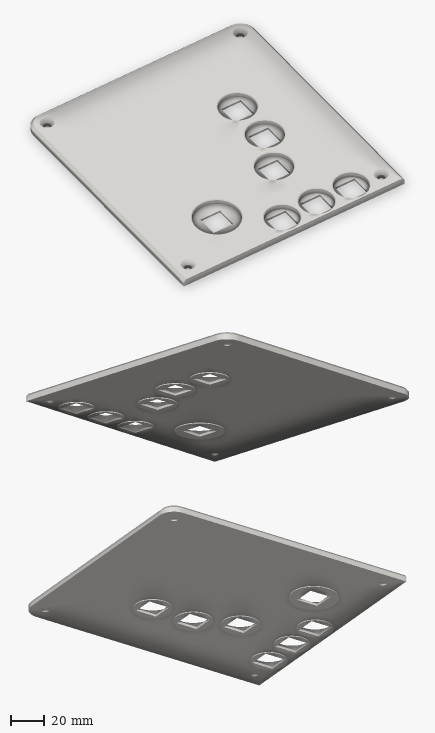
import cadquery as cq

length = 170.0
width = 160.0
total_height = 5.6
boss_height = 0.5
corner_radius = 10.0
edge_chamfer = 1.9

screw_inset = 10.0
screw_spacing_x = 150.0
screw_diameter = 4.5
countersink_diameter = 9.0
countersink_angle = 90

switch_opening = 14.1
floor_thickness = 1.5
rim_chamfer = 0.5
floor_bevel = 0.5
column_well_diameter = 22.1
row_well_diameter = 24.0
thumb_well_diameter = 30.1
column_x = 157.2
column_top_y = 130.0
column_pitch = 25.0
column_count = 3
row_centers = [(62.2, 112.4), (91.3, 112.4), (117.6, 101.2)]
thumb_center = (135.2, 47.8)

wells = [(x, y, row_well_diameter, floor_bevel) for x, y in row_centers]
wells.append((*thumb_center, thumb_well_diameter, floor_bevel))
for index in range(column_count):
    wells.append((column_x, column_top_y - index * column_pitch, column_well_diameter, 0))


def make_plate():
    """Plate with rounded left corners; the right edge stays square and unchamfered."""
    plate = cq.Workplane("XY", origin=(0, 0, boss_height))
    plate = plate.rect(length, width, centered=False).extrude(total_height - boss_height)
    plate = plate.edges("|Z and <X").fillet(corner_radius)
    return plate.faces(">Z").edges("not >X").chamfer(edge_chamfer)


def add_well(body, x, y, diameter, bevel):
    """Well with a chamfered rim, optional floor bevel, a raised boss below and a square opening."""
    boss = cq.Workplane("XY", origin=(x, y, 0)).circle(diameter / 2).extrude(boss_height)
    recess = cq.Workplane("XY", origin=(x, y, floor_thickness)).circle(diameter / 2)
    recess = recess.extrude(total_height - floor_thickness)
    if bevel > 0:
        recess = recess.faces("<Z").edges().chamfer(bevel)
    rim = (
        cq.Workplane("XY", origin=(x, y, total_height - rim_chamfer)).circle(diameter / 2)
        .workplane(offset=rim_chamfer).circle(diameter / 2 + rim_chamfer)
        .loft(ruled=True)
    )
    opening = cq.Workplane("XY", origin=(x, y, 0)).rect(switch_opening, switch_opening)
    opening = opening.extrude(total_height)
    return body.union(boss).cut(recess).cut(rim).cut(opening)


result = make_plate()
for well_x, well_y, well_diameter, well_bevel in wells:
    result = add_well(result, well_x, well_y, well_diameter, well_bevel)

screw_centers = [
    (x, y)
    for x in (screw_inset, screw_inset + screw_spacing_x)
    for y in (screw_inset, width - screw_inset)
]
result = (
    result.faces(">Z").workplane(origin=(0, 0, total_height))
    .pushPoints(screw_centers)
    .cskHole(screw_diameter, countersink_diameter, countersink_angle)
)